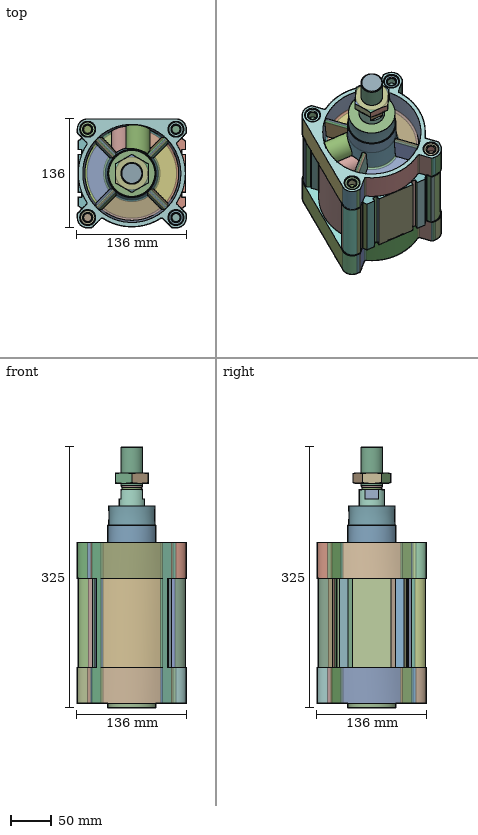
import cadquery as cq
import math

OVERALL_LENGTH = 325.0
BASE_SPIGOT_HEIGHT = 6.0
CAP_HEIGHT = 45.0
BARREL_LENGTH = 110.5
BARREL_BOTTOM = BASE_SPIGOT_HEIGHT + CAP_HEIGHT
BARREL_TOP = BARREL_BOTTOM + BARREL_LENGTH
CAP_TOP = BARREL_TOP + CAP_HEIGHT
GUIDE_TOP = 227.8
COLLAR_TOP = 251.5
FLATS_BOTTOM = 260.3
SHOULDER_TOP = 271.7
NUT_BOTTOM = 279.5
NUT_HEIGHT = 13.0

CAP_SIZE = 136.0
LOBE_RADIUS = 13.0
CAP_RADIUS = 66.5
FLANK_OFFSET = 18.0
FLANK_FOOT_FILLET = 2.0
LOBE_CORNER_FILLET = 2.3

BARREL_SIZE = 134.0
BARREL_RADIUS = 66.3
RELIEF_START = 44.2
RELIEF_FLOOR = 1.5
LOBE_FLAT_START = 49.0
PLATE_HALF_WIDTH = 40.3
PLATE_CHAMFER_WIDTH = 3.5
PLATE_CHAMFER_DEPTH = 5.0
SLOT_CENTER = 26.5
SLOT_WIDTH = 6.0
SLOT_DEPTH = 4.5

RECESS_DIAMETER = 122.2
RECESS_FLOOR_DIAMETER = 116.5
RECESS_DEPTH = 32.5
RECESS_FILLET = 2.5
RIB_DROP = 2.3
RIB_TOP_WIDTH = 5.2
RIB_BASE_WIDTH = 11.0
RIB_CREST_FILLET = 2.0

PORT_DIAMETER = 30.2
PORT_X = 7.8
PORT_DEPTH = 21.5
CUSHION_DIAMETER = 25.0
CUSHION_X = -13.0
CUSHION_DEPTH = 33.8

GUIDE_DIAMETER = 60.0
GUIDE_BASE_DIAMETER = 66.3
GUIDE_BASE_FILLET = 2.0
GUIDE_CHAMFER = 0.5
COLLAR_DIAMETER = 58.2
COLLAR_WAIST_DIAMETER = 57.2

BOLT_OFFSET = 55.0
BOLT_HEAD_DIAMETER = 19.8
BOLT_HEAD_INNER_DIAMETER = 18.0
BOLT_SOCKET_MOUTH_DIAMETER = 12.7
BOLT_SOCKET_DIAMETER = 10.0
BOLT_BEVEL_DEPTH = 1.0
BOLT_SOCKET_DEPTH = 13.0

ROD_DIAMETER = 32.0
THREAD_DIAMETER = 27.0
UNDERCUT_DIAMETER = 25.0
UNDERCUT_LENGTH = 3.0
UNDERCUT_TAPER = 2.0
THREAD_CHAMFER = 1.0
ACROSS_FLATS = 27.0
NUT_ACROSS_FLATS = 41.0
NUT_BEVEL_HEIGHT = 1.0

CORNERS = [(sx, sy) for sx in (-1, 1) for sy in (-1, 1)]


def cylinder(diameter, bottom, top):
    """Round bar on the Z axis between two levels."""
    return cq.Workplane("XY").workplane(offset=bottom).circle(diameter / 2).extrude(top - bottom)


def lobe_outline(half_size, foot):
    """Corner lobe in the +X +Y quadrant, with the points between its two sides given by foot.

    foot runs from the axis side to the flat on the +Y side; it is mirrored about the diagonal.
    """
    center = half_size - LOBE_RADIUS
    arc_point = center + LOBE_RADIUS * math.sqrt(0.5)
    outline = cq.Workplane("XY").moveTo(0, 0)
    for x, y in foot:
        outline = outline.lineTo(x, y)
    outline = outline.lineTo(center, half_size)
    outline = outline.threePointArc((arc_point, arc_point), (half_size, center))
    for x, y in reversed(foot):
        outline = outline.lineTo(y, x)
    return outline.close()


def four_lobes(half_size, foot, height):
    """The same lobe on all four corners."""
    lobe = lobe_outline(half_size, foot).extrude(height)
    lobes = lobe
    for quarter in (1, 2, 3):
        lobes = lobes.union(lobe.rotate((0, 0, 0), (0, 0, 1), 90 * quarter))
    return lobes


def flank_foot_x(radius):
    """Where a lobe flank meets the round wall of the given radius."""
    return (math.sqrt(2 * radius**2 - FLANK_OFFSET**2) - FLANK_OFFSET) / 2


def fillet_upright_edges(body, points, radius):
    """Round the vertical edges that pass through the given (x, y) points."""
    for x, y in points:
        body = body.edges("|Z").edges(cq.selectors.NearestToPointSelector((x, y, 0))).fillet(radius)
    return body


def cap(bottom):
    """Square-flanged end cap: round wall, four lobes and a full flat on the +Y side."""
    half = CAP_SIZE / 2
    inner_x = flank_foot_x(CAP_RADIUS)
    inner_y = inner_x + FLANK_OFFSET
    outer_x = half - FLANK_OFFSET
    foot = [(inner_x, inner_y), (outer_x, half)]
    body = cq.Workplane("XY").circle(CAP_RADIUS).extrude(CAP_HEIGHT)
    body = body.union(four_lobes(half, foot, CAP_HEIGHT))
    flat_side = cq.Workplane("XY").rect(2 * BOLT_OFFSET, half).extrude(CAP_HEIGHT)
    body = body.union(flat_side.translate((0, half / 2, 0)))
    flank_feet = [(sx * inner_y, sy * inner_x) for sx, sy in CORNERS]
    flank_feet += [(sx * inner_x, -inner_y) for sx in (-1, 1)]
    lobe_corners = [(sx * half, sy * outer_x) for sx, sy in CORNERS]
    lobe_corners += [(sx * outer_x, -half) for sx in (-1, 1)]
    body = fillet_upright_edges(body, flank_feet, FLANK_FOOT_FILLET)
    body = fillet_upright_edges(body, lobe_corners, LOBE_CORNER_FILLET)
    return body.translate((0, 0, bottom))


def side_plate():
    """Plate along the -X side of the barrel, with chamfered ends and a wedge reaching into the tube."""
    face = BARREL_SIZE / 2
    root = face - PLATE_CHAMFER_DEPTH
    end = PLATE_HALF_WIDTH + PLATE_CHAMFER_WIDTH
    return (
        cq.Workplane("XY")
        .polyline([
            (-face, -PLATE_HALF_WIDTH), (-root, -end), (0, 0), (-root, end), (-face, PLATE_HALF_WIDTH)
        ])
        .close()
        .extrude(BARREL_LENGTH)
    )


def barrel():
    """Lobed profile between the caps, with slotted plates on the two X sides."""
    half = BARREL_SIZE / 2
    inner_x = flank_foot_x(BARREL_RADIUS)
    inner_y = inner_x + FLANK_OFFSET
    relief_y = RELIEF_START + FLANK_OFFSET
    foot = [
        (inner_x, inner_y),
        (RELIEF_START, relief_y),
        (RELIEF_START + RELIEF_FLOOR, relief_y),
        (LOBE_FLAT_START, half),
    ]
    body = cq.Workplane("XY").circle(BARREL_RADIUS).extrude(BARREL_LENGTH)
    body = body.union(four_lobes(half, foot, BARREL_LENGTH))
    flank_feet = [(sx * inner_x, sy * inner_y) for sx, sy in CORNERS]
    body = fillet_upright_edges(body, flank_feet, FLANK_FOOT_FILLET)
    plate = side_plate()
    body = body.union(plate).union(plate.mirror("YZ"))
    slots = (
        cq.Workplane("XY")
        .pushPoints([(sx * half, sy * SLOT_CENTER) for sx, sy in CORNERS])
        .rect(2 * SLOT_DEPTH, SLOT_WIDTH)
        .extrude(BARREL_LENGTH)
    )
    return body.cut(slots).translate((0, 0, BARREL_BOTTOM))


def recess():
    """Tapered round recess in the top cap, with a rounded floor edge."""
    taper = math.degrees(math.atan2((RECESS_DIAMETER - RECESS_FLOOR_DIAMETER) / 2, RECESS_DEPTH))
    return (
        cq.Workplane("XY", origin=(0, 0, CAP_TOP))
        .circle(RECESS_DIAMETER / 2)
        .extrude(-RECESS_DEPTH, taper=taper)
        .faces("<Z")
        .edges()
        .fillet(RECESS_FILLET)
    )


def ribs():
    """Four drafted ribs on the diagonals of the recess."""
    rib_height = RECESS_DEPTH - RIB_DROP
    rib_profile = [
        (-RIB_BASE_WIDTH / 2, 0),
        (RIB_BASE_WIDTH / 2, 0),
        (RIB_TOP_WIDTH / 2, rib_height),
        (-RIB_TOP_WIDTH / 2, rib_height),
    ]
    beam = (
        cq.Workplane("XZ", origin=(0, 0, CAP_TOP - RECESS_DEPTH))
        .polyline(rib_profile)
        .close()
        .extrude(RECESS_DIAMETER / 2, both=True)
        .faces(">Z")
        .edges("|Y")
        .fillet(RIB_CREST_FILLET)
    )
    return beam.rotate((0, 0, 0), (0, 0, 1), 45).union(beam.rotate((0, 0, 0), (0, 0, 1), -45))


def passage(diameter, x, depth):
    """Round air passage wall from the axis to the +Y side."""
    return (
        cq.Workplane("XZ", origin=(x, 0, CAP_TOP - depth))
        .circle(diameter / 2)
        .extrude(-RECESS_DIAMETER / 2)
    )


def rod_guide():
    """Guide tower in the recess: flared foot, straight guide and waisted collar."""
    collar = COLLAR_DIAMETER / 2
    guide = GUIDE_DIAMETER / 2
    floor = CAP_TOP - RECESS_DEPTH
    return (
        cq.Workplane("XZ")
        .moveTo(0, floor)
        .lineTo(GUIDE_BASE_DIAMETER / 2 + GUIDE_BASE_FILLET, floor)
        .radiusArc((GUIDE_BASE_DIAMETER / 2, floor + GUIDE_BASE_FILLET), GUIDE_BASE_FILLET)
        .lineTo(guide, CAP_TOP)
        .lineTo(guide, GUIDE_TOP - GUIDE_CHAMFER)
        .lineTo(guide - GUIDE_CHAMFER, GUIDE_TOP)
        .lineTo(collar, GUIDE_TOP)
        .threePointArc((COLLAR_WAIST_DIAMETER / 2, (GUIDE_TOP + COLLAR_TOP) / 2), (collar, COLLAR_TOP))
        .lineTo(0, COLLAR_TOP)
        .close()
        .revolve(360, (0, 0, 0), (0, 1, 0))
    )


def bolt_socket():
    """Bevelled ring and stepped socket of one tie bolt, cut down from the cap top."""
    face = CAP_TOP - BOLT_BEVEL_DEPTH
    return (
        cq.Workplane("XZ")
        .moveTo(0, CAP_TOP)
        .lineTo(BOLT_HEAD_DIAMETER / 2, CAP_TOP)
        .lineTo(BOLT_HEAD_INNER_DIAMETER / 2, face)
        .lineTo(BOLT_SOCKET_MOUTH_DIAMETER / 2, face)
        .lineTo(BOLT_SOCKET_DIAMETER / 2, face - BOLT_BEVEL_DEPTH)
        .lineTo(BOLT_SOCKET_DIAMETER / 2, CAP_TOP - BOLT_SOCKET_DEPTH)
        .lineTo(0, CAP_TOP - BOLT_SOCKET_DEPTH)
        .close()
        .revolve(360, (0, 0, 0), (0, 1, 0))
    )


def make_housing():
    """Caps, barrel, spigot and rod guide as one body."""
    pocket = recess()
    inner_parts = (
        ribs()
        .union(passage(PORT_DIAMETER, PORT_X, PORT_DEPTH))
        .union(passage(CUSHION_DIAMETER, CUSHION_X, CUSHION_DEPTH))
        .intersect(pocket)
    )
    top_cap = cap(BARREL_TOP).cut(pocket).union(inner_parts).union(rod_guide())
    for sx, sy in CORNERS:
        top_cap = top_cap.cut(bolt_socket().translate((sx * BOLT_OFFSET, sy * BOLT_OFFSET, 0)))
    spigot = cylinder(GUIDE_DIAMETER, 0, BASE_SPIGOT_HEIGHT).faces("<Z").chamfer(GUIDE_CHAMFER)
    return cap(BASE_SPIGOT_HEIGHT).union(barrel()).union(top_cap).union(spigot)


def make_rod():
    """Piston rod end: shoulder with wrench flats, undercut and thread."""
    thread = THREAD_DIAMETER / 2
    undercut = UNDERCUT_DIAMETER / 2
    undercut_top = SHOULDER_TOP + UNDERCUT_LENGTH
    rod = (
        cq.Workplane("XZ")
        .polyline([
            (0, COLLAR_TOP),
            (ROD_DIAMETER / 2, COLLAR_TOP),
            (ROD_DIAMETER / 2, SHOULDER_TOP),
            (undercut, SHOULDER_TOP),
            (undercut, undercut_top),
            (thread, undercut_top + UNDERCUT_TAPER),
            (thread, OVERALL_LENGTH - THREAD_CHAMFER),
            (thread - THREAD_CHAMFER, OVERALL_LENGTH),
            (0, OVERALL_LENGTH),
        ])
        .close()
        .revolve(360, (0, 0, 0), (0, 1, 0))
    )
    flats_height = SHOULDER_TOP - FLATS_BOTTOM
    for side in (-1, 1):
        waste = cq.Workplane("XY").box(ROD_DIAMETER, ROD_DIAMETER, flats_height, centered=(True, True, False))
        rod = rod.cut(waste.translate((side * (ACROSS_FLATS + ROD_DIAMETER) / 2, 0, FLATS_BOTTOM)))
    return rod


def make_nut():
    """Hexagon lock nut with flats facing X and corners bevelled at both ends."""
    corner_radius = NUT_ACROSS_FLATS / math.sqrt(3)
    flat_radius = NUT_ACROSS_FLATS / 2
    hexagon = cq.Workplane("XY").polygon(6, 2 * corner_radius).extrude(NUT_HEIGHT)
    hexagon = hexagon.rotate((0, 0, 0), (0, 0, 1), 30)
    envelope = (
        cq.Workplane("XZ")
        .polyline([
            (0, 0),
            (flat_radius, 0),
            (corner_radius, NUT_BEVEL_HEIGHT),
            (corner_radius, NUT_HEIGHT - NUT_BEVEL_HEIGHT),
            (flat_radius, NUT_HEIGHT),
            (0, NUT_HEIGHT),
        ])
        .close()
        .revolve(360, (0, 0, 0), (0, 1, 0))
    )
    bore = cq.Workplane("XY").circle(THREAD_DIAMETER / 2).extrude(NUT_HEIGHT)
    return hexagon.intersect(envelope).cut(bore).translate((0, 0, NUT_BOTTOM))


housing = make_housing()
rod = make_rod()
nut = make_nut()

result = cq.Compound.makeCompound([housing.val(), rod.val(), nut.val()])